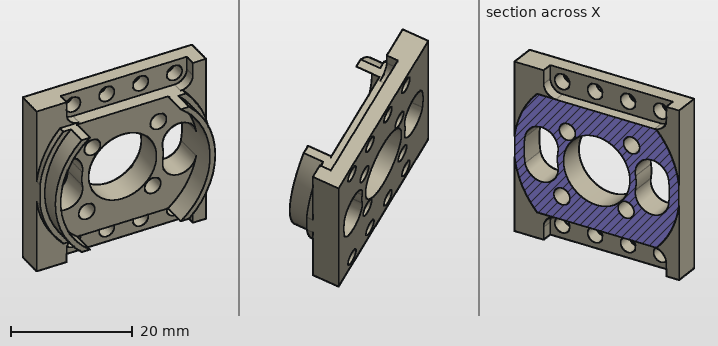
import cadquery as cq
import math

plate_side = 31.75
plate_thickness = 4.7625
total_depth = 9.525

row_pitch = 6.35
row_count = 4
row_hole_diameter = 2.85
row_center_y = row_pitch / 4
row_height = 13.42
row_first_y = row_center_y - row_pitch * (row_count - 1) / 2
row_last_y = row_center_y + row_pitch * (row_count - 1) / 2

pocket_floor_x = 2.7
pocket_radius = 2.3
pocket_inner_z = row_height - pocket_radius

flange_radius = 16.0
flange_top_x = 5.9
boss_radius = 15.0
boss_height = 2 * pocket_inner_z

recess_radius = 14.0
recess_floor_x = 5.2

bore_diameter = 12.7
motor_hole_diameter = 3.0
wide_bolt_circle = 19.0
narrow_bolt_circle = 16.0

slot_width = 6.35
slot_center_radius = recess_radius - slot_width / 2
slot_half_angle = 10.0


def box_between(x_range, y_range, z_range):
    """Box spanning the given (low, high) pair on each axis."""
    lengths = [high - low for low, high in (x_range, y_range, z_range)]
    corner = (x_range[0], y_range[0], z_range[0])
    return cq.Workplane("XY").box(*lengths, centered=False).translate(corner)


def section_at(x):
    """Workplane at depth x: local x is Y, local y is Z, extrusion goes towards +X."""
    return cq.Workplane("YZ", origin=(x, 0, 0))


def round_holes(points, diameter):
    """Cylinders through the full depth at the given (Y, Z) points."""
    return section_at(0).pushPoints(points).circle(diameter / 2).extrude(total_depth)


def polar(radius, degrees):
    """(Y, Z) point at a radius and an angle from +Y about the bore axis."""
    angle = math.radians(degrees)
    return (radius * math.cos(angle), radius * math.sin(angle))


def make_body():
    half_side = plate_side / 2
    square = (-half_side, half_side)
    plate = box_between((0, plate_thickness), square, square)
    flange = section_at(0).circle(flange_radius).extrude(flange_top_x)
    boss = section_at(0).circle(boss_radius).extrude(total_depth)
    trim = box_between((0, total_depth), square, (-boss_height / 2, boss_height / 2))
    recess = section_at(recess_floor_x).circle(recess_radius).extrude(total_depth - recess_floor_x)
    return plate.union(flange.union(boss).intersect(trim)).cut(recess)


def make_pocket(side):
    """Pocket around one hole row; side is +1 for the top edge, -1 for the bottom."""
    edge_z = side * plate_side / 2
    row_z = side * row_height
    inner_z = side * pocket_inner_z
    corner_offset = pocket_radius * math.sqrt(0.5)
    corner_z = row_z - side * corner_offset
    return (
        section_at(pocket_floor_x)
        .moveTo(row_first_y - pocket_radius, edge_z)
        .lineTo(row_first_y - pocket_radius, row_z)
        .threePointArc((row_first_y - corner_offset, corner_z), (row_first_y, inner_z))
        .lineTo(row_last_y, inner_z)
        .threePointArc((row_last_y + corner_offset, corner_z), (row_last_y + pocket_radius, row_z))
        .lineTo(row_last_y + pocket_radius, edge_z)
        .close()
        .extrude(plate_thickness - pocket_floor_x)
    )


def make_slot(mid_angle):
    """Slot following an arc about the bore axis, with round ends, through to the recess."""
    inner = slot_center_radius - slot_width / 2
    outer = slot_center_radius + slot_width / 2
    start = mid_angle - slot_half_angle
    end = mid_angle + slot_half_angle
    start_y, start_z = polar(slot_center_radius, start)
    end_y, end_z = polar(slot_center_radius, end)
    start_bulge_y, start_bulge_z = polar(slot_width / 2, start - 90)
    end_bulge_y, end_bulge_z = polar(slot_width / 2, end + 90)
    return (
        section_at(0)
        .moveTo(*polar(outer, start))
        .threePointArc(polar(outer, mid_angle), polar(outer, end))
        .threePointArc((end_y + end_bulge_y, end_z + end_bulge_z), polar(inner, end))
        .threePointArc(polar(inner, mid_angle), polar(inner, start))
        .threePointArc((start_y + start_bulge_y, start_z + start_bulge_z), polar(outer, start))
        .close()
        .extrude(recess_floor_x)
    )


result = make_body()

for side in (1, -1):
    result = result.cut(make_pocket(side))

row_points = [
    (row_first_y + index * row_pitch, side * row_height)
    for side in (1, -1)
    for index in range(row_count)
]
result = result.cut(round_holes(row_points, row_hole_diameter))

result = result.cut(round_holes([(0, 0)], bore_diameter))
wide_points = [polar(wide_bolt_circle / 2, angle) for angle in (45, 225)]
narrow_points = [polar(narrow_bolt_circle / 2, angle) for angle in (135, 315)]
result = result.cut(round_holes(wide_points + narrow_points, motor_hole_diameter))

for mid_angle in (0, 180):
    result = result.cut(make_slot(mid_angle))